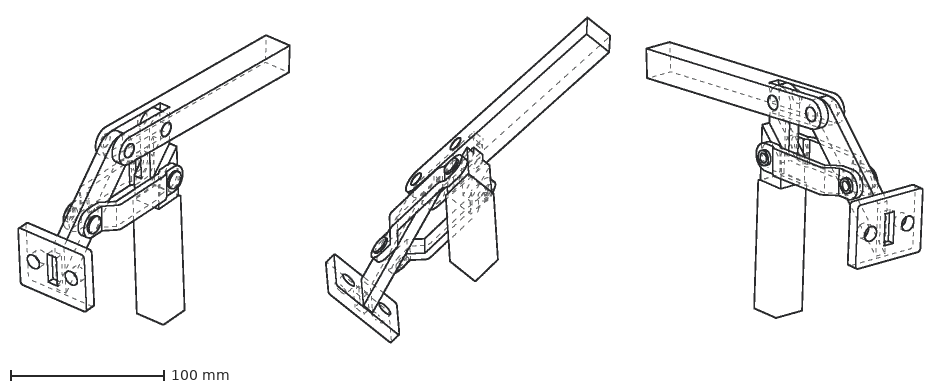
import cadquery as cq
import math


bar = 20.2
bar_r = bar / 2
tongue = 8.0
tilt = 2.6

handle_reach = 164.5
handle_slot_reach = 48.5
pin_spacing = 38.0
pin_r = 5.0
pin_stand_out = 0.2

upright_link_drop = 37.2
shoulder_drop = 18.6
grip_drop = 57.3
grip_length = 90.0
grip_width = 23.0
grip_depth = 22.3
grip_round = 0.7

arm_angle = 48.4
arm_half_width = 13.0
arm_head_offset = 4.2
arm_reach = 104.7
plate_width = 56.0
plate_height = 45.0
plate_thick = 8.0
plate_center = (-62.5, -63.8)
plate_tilt = 3.4
plate_corner_r = 2.3
plate_hole_r = 5.1
plate_hole_offset = 16.0
recess_height = 22.3
recess_depth = 5.0

link_span = 75.0
link_tilt = 1.0
link_height = 19.0
link_thick = 5.0
link_bulge = 17.2
rear_bend = 7.0
jog_angle = 30
front_bend = 57.7
bend_r = 6.0

rivet_r = 5.1
rivet_head = 2.0
rivet_hole_r = 3.3
clip_r = 6.0
clip_thick = 1.5


def turned(point, angle):
    """Rotate a (y, z) point about the origin."""
    c = math.cos(math.radians(angle))
    s = math.sin(math.radians(angle))
    y, z = point
    return (y * c - z * s, y * s + z * c)


def shifted(point, offset):
    return (point[0] + offset[0], point[1] + offset[1])


def placed(body, pivot, angle):
    """Tilt a body about X and move its local origin to a (y, z) pivot."""
    return body.rotate((0, 0, 0), (1, 0, 0), angle).translate((0, *pivot))


def cylinder_x(radius, x_start, x_end, y=0.0, z=0.0):
    disc = cq.Workplane("YZ", origin=(x_start, y, z)).circle(radius)
    return disc.extrude(x_end - x_start)


def block(width, depth, y, z_top, height):
    """Box centred on x = 0 and y, hanging down from z_top."""
    return cq.Workplane("XY").box(width, depth, height).translate((0, y, z_top - height / 2))


arm_pin = (0.0, 0.0)
handle_pin = turned((pin_spacing, 0), -tilt)
rear_link_pin = shifted(handle_pin, turned((0, -upright_link_drop), tilt))
arm_head_center = turned((-arm_head_offset, 0), arm_angle)
front_link_pin = shifted(rear_link_pin, turned((-link_span, 0), link_tilt))


def make_handle():
    body = block(bar, handle_reach, handle_reach / 2, bar_r, bar)
    body = body.union(cylinder_x(bar_r, -bar_r, bar_r))
    slot_length = handle_slot_reach + bar
    body = body.cut(block(tongue, slot_length, handle_slot_reach - slot_length / 2, bar_r, bar))
    pin_half = bar_r + pin_stand_out
    for y in (0, pin_spacing):
        body = body.union(cylinder_x(pin_r, -pin_half, pin_half, y))
    return placed(body, arm_pin, -tilt)


def make_upright():
    shank_bottom = grip_drop + grip_length / 2
    shank = (
        cq.Workplane("YZ")
        .moveTo(bar_r, -shoulder_drop)
        .lineTo(-bar_r, -shoulder_drop - bar)
        .lineTo(-bar_r, -shank_bottom)
        .lineTo(bar_r, -shank_bottom)
        .close()
        .extrude(bar_r, both=True)
    )
    neck = block(tongue, bar, 0, 0, shank_bottom)
    eye = cylinder_x(bar_r, -tongue / 2, tongue / 2)
    grip = block(grip_width, grip_depth, 0, -grip_drop, grip_length).edges().fillet(grip_round)
    return placed(shank.union(neck).union(eye).union(grip), handle_pin, tilt)


def make_arm():
    strip = cylinder_x(arm_half_width, -tongue / 2, tongue / 2)
    strip = strip.union(block(tongue, 2 * arm_half_width, 0, 0, arm_reach))
    strip = placed(strip, arm_head_center, arm_angle - 90)
    beyond_y = (plate_thick - arm_reach) / 2
    beyond_back = block(bar, arm_reach, beyond_y, arm_reach / 2, arm_reach)
    beyond_back = placed(beyond_back, plate_center, plate_tilt)
    return strip.cut(beyond_back)


def make_plate():
    body = cq.Workplane("XY").box(plate_width, plate_thick, plate_height)
    body = body.edges("|Y").fillet(plate_corner_r)
    holes = body.faces("<Y").workplane().pushPoints([(-plate_hole_offset, 0), (plate_hole_offset, 0)])
    return placed(holes.hole(2 * plate_hole_r), plate_center, plate_tilt)


def make_plate_recess():
    depth_y = recess_depth - plate_thick
    cutter = block(tongue, recess_depth, depth_y / 2, recess_height / 2, recess_height)
    return placed(cutter, plate_center, plate_tilt)


def make_link():
    rear_out = bar_r + link_thick
    front_out = tongue / 2 + link_thick
    jog_out = (link_bulge - rear_out) / math.tan(math.radians(jog_angle))
    jog_in = link_bulge - front_out
    rear_shift = link_thick * math.tan(math.radians(jog_angle / 2))
    front_shift = link_thick * math.tan(math.pi / 8)
    end = link_height / 2
    outer = [
        (rear_out, end),
        (rear_out, -rear_bend),
        (link_bulge, -rear_bend - jog_out),
        (link_bulge, -front_bend),
        (front_out, -front_bend - jog_in),
        (front_out, -link_span - end),
    ]
    inner_shifts = [0, -rear_shift, -rear_shift, front_shift, front_shift, 0]
    inner = [(x - link_thick, y + dy) for (x, y), dy in zip(outer, inner_shifts)]
    strip = cq.Workplane("XY").polyline(outer + inner[::-1]).close().extrude(end, both=True)
    for bend in (outer[2], outer[3]):
        corner = cq.selectors.NearestToPointSelector((*bend, 0))
        strip = strip.edges("|Z").edges(corner).fillet(bend_r)
    outline = (
        cq.Workplane("YZ")
        .center(-link_span / 2, 0)
        .slot2D(link_span + link_height, link_height)
        .extrude(link_bulge)
    )
    return strip.intersect(outline)


def make_links():
    link = make_link()
    pair = link.union(link.mirror("YZ"))
    return placed(pair, rear_link_pin, link_tilt)


def make_rivet(pin, link_face):
    """Rivet with a hollow head on -X and a clip on +X of links reaching link_face."""
    head_x = -link_face - rivet_head
    body = cylinder_x(rivet_r, head_x, link_face, *pin)
    return body.union(cylinder_x(clip_r, link_face, link_face + clip_thick, *pin))


def make_rivet_hollow(pin, link_face):
    """Conical hollow in the head of a rivet."""
    tip = cq.Vector(-link_face - rivet_head, *pin)
    cone = cq.Solid.makeCone(rivet_hole_r, 0, rivet_hole_r, tip, cq.Vector(1, 0, 0))
    return cq.Workplane(obj=cone)


rivets = [
    (rear_link_pin, bar_r + link_thick),
    (front_link_pin, tongue / 2 + link_thick),
]

result = make_handle().union(make_upright()).union(make_arm()).union(make_plate()).union(make_links())
for pin, link_face in rivets:
    result = result.union(make_rivet(pin, link_face))
    result = result.cut(make_rivet_hollow(pin, link_face))
result = result.cut(make_plate_recess())